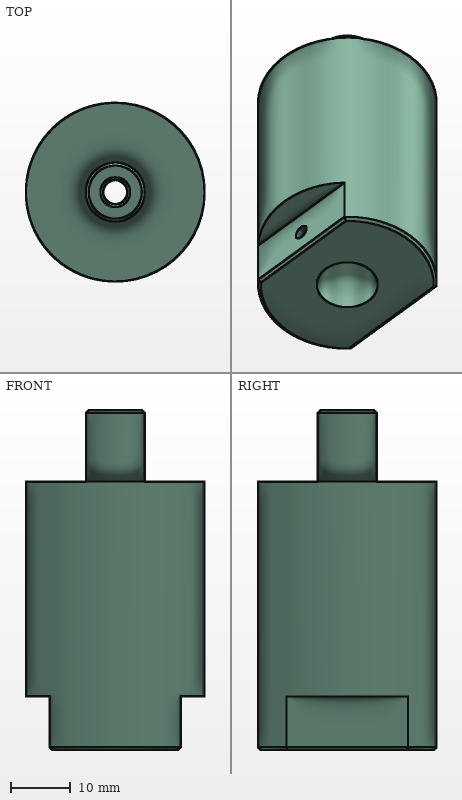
import cadquery as cq

body_diameter = 30.0
body_height = 45.0
bottom_chamfer = 0.5

pin_diameter = 9.9
pin_length = 12.0
pin_chamfer = 0.5
total_height = body_height + pin_length

bore_diameter = 4.0
bore_chamfer = 0.5

socket_diameter = 10.2
socket_depth = 20.0

flat_spacing = 22.0
flat_height = 9.0

side_hole_diameter = 2.5
side_hole_z = flat_height / 2


def make_flatted_body():
    """Cylinder with both flats cut, then chamfered around its whole bottom outline."""
    body = cq.Workplane("XY").circle(body_diameter / 2).extrude(body_height)
    for side in (-1, 1):
        body = body.cut(make_flat_cutter(side))
    return body.faces("<Z").chamfer(bottom_chamfer)


def make_pin():
    return (
        cq.Workplane("XY")
        .workplane(offset=body_height)
        .circle(pin_diameter / 2)
        .extrude(pin_length)
        .faces(">Z")
        .chamfer(pin_chamfer)
    )


def make_bore():
    """Axial opening: socket at the foot, narrow bore above it, flared mouth at the top."""
    socket_radius = socket_diameter / 2
    bore_radius = bore_diameter / 2
    mouth_radius = bore_radius + bore_chamfer
    return (
        cq.Workplane("XZ")
        .moveTo(0, 0)
        .lineTo(socket_radius, 0)
        .lineTo(socket_radius, socket_depth)
        .lineTo(bore_radius, socket_depth)
        .lineTo(bore_radius, total_height - bore_chamfer)
        .lineTo(mouth_radius, total_height)
        .lineTo(0, total_height)
        .close()
        .revolve(360, (0, 0, 0), (0, 1, 0))
    )


def make_flat_cutter(side):
    """Block outside one flat; side is -1 for -X and +1 for +X."""
    return (
        cq.Workplane("XY")
        .box(body_diameter, body_diameter, flat_height, centered=(True, True, False))
        .translate((side * (flat_spacing + body_diameter) / 2, 0, 0))
    )


def make_side_hole():
    return (
        cq.Workplane("YZ")
        .center(0, side_hole_z)
        .circle(side_hole_diameter / 2)
        .extrude(-body_diameter / 2)
    )


result = make_flatted_body().union(make_pin()).cut(make_bore()).cut(make_side_hole())